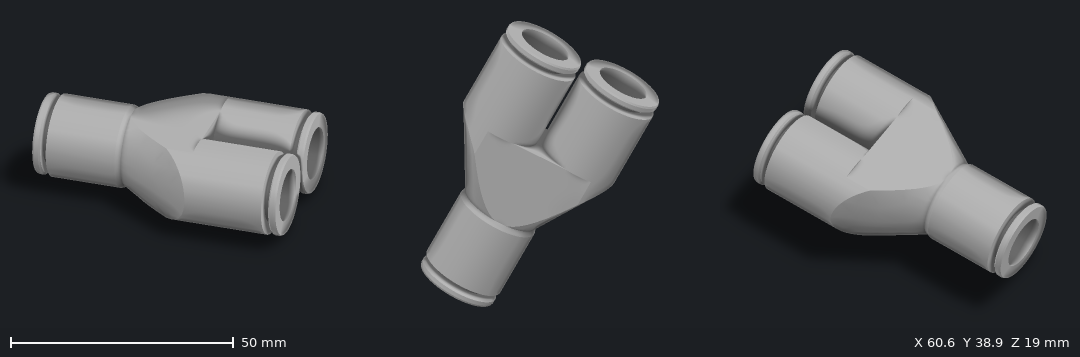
import cadquery as cq

length = 60.62
width = 38.85

sleeve_radius = 9.5
branch_offset = width / 2 - sleeve_radius
bore_radius = 6.0
bore_depth = 17.0

collar_radius = 9.3
collar_thickness = 1.8
collar_front_chamfer_length = 0.45
collar_front_chamfer_height = 0.2
collar_back_chamfer_length = 0.4
collar_back_chamfer_height = 0.45
neck_radius = 6.7
sleeve_setback = 3.3

trunk_taper_start = 19.5
trunk_taper_middle = 20.05
trunk_taper_middle_radius = 9.3

web_half_height = 8.95
cone_start = 20.8
cone_start_radius = 9.05
web_end = 39.3
cone_runout = 0.02
cone_end_radius = width / 2 + cone_runout
cone_slope = (cone_end_radius - cone_start_radius) / (web_end - cone_start)


def revolve_about_x(outline):
    """Turn an (X, radius) outline about the X axis."""
    profile = cq.Workplane("XZ").polyline(outline).close()
    return profile.revolve(360, (0, 0, 0), (1, 0, 0))


def make_collar():
    """Collar and neck of one port, with the mouth at X = 0 facing -X."""
    return revolve_about_x([
        (0, 0),
        (0, collar_radius - collar_front_chamfer_height),
        (collar_front_chamfer_length, collar_radius),
        (collar_thickness - collar_back_chamfer_length, collar_radius),
        (collar_thickness, collar_radius - collar_back_chamfer_height),
        (collar_thickness, neck_radius),
        (sleeve_setback, neck_radius),
        (sleeve_setback, 0),
    ])


def make_bore():
    """Blind tube socket of one port, with the mouth at X = 0 facing -X."""
    return cq.Workplane("YZ").circle(bore_radius).extrude(bore_depth)


def to_branch(shape, side):
    """Turn a trunk port feature round to the mouth of the branch on the given Y side."""
    turned = shape.rotate((0, 0, 0), (0, 0, 1), 180)
    return turned.translate((length, side * branch_offset, 0))


def make_trunk_sleeve():
    return revolve_about_x([
        (sleeve_setback, 0),
        (sleeve_setback, sleeve_radius),
        (trunk_taper_start, sleeve_radius),
        (trunk_taper_middle, trunk_taper_middle_radius),
        (cone_start, cone_start_radius),
        (cone_start, 0),
    ])


def make_branch_sleeve(side):
    """Branch sleeve that starts at the narrow end of the web."""
    sleeve_end = length - sleeve_setback
    sleeve = revolve_about_x([
        (cone_start, 0),
        (cone_start, sleeve_radius),
        (sleeve_end, sleeve_radius),
        (sleeve_end, 0),
    ])
    return sleeve.translate((0, side * branch_offset, 0))


def make_web_box(box_width, bottom, top):
    """Box over the length of the web, centred in Y."""
    web_length = web_end - cone_start
    box = cq.Workplane("XY").box(web_length, box_width, top - bottom, centered=(False, True, False))
    return box.translate((cone_start, 0, bottom))


def make_cone():
    """Cone that trims the web; it widens further, clear of the branches, up to their mouths."""
    mouth_radius = cone_start_radius + cone_slope * (length - cone_start)
    return revolve_about_x([
        (cone_start, 0),
        (cone_start, cone_start_radius),
        (length, mouth_radius),
        (length, 0),
    ])


result = make_web_box(2 * branch_offset, -web_half_height, web_half_height)
for branch_side in (-1, 1):
    result = result.union(make_branch_sleeve(branch_side))
result = result.cut(make_web_box(width, web_half_height, sleeve_radius))
result = result.cut(make_web_box(width, -sleeve_radius, -web_half_height))
result = result.intersect(make_cone())

result = result.union(make_trunk_sleeve()).union(make_collar()).cut(make_bore())
for branch_side in (-1, 1):
    result = result.union(to_branch(make_collar(), branch_side))
    result = result.cut(to_branch(make_bore(), branch_side))